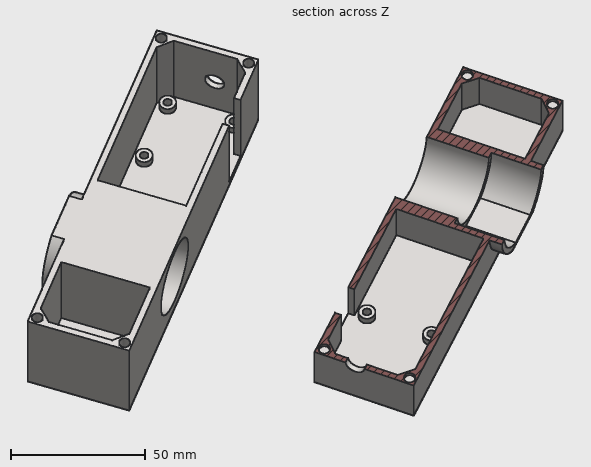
import cadquery as cq

body_width = 40.0
body_length = 142.5
body_height = 37.5

side_wall = 2.5
end_wall = 2.4
floor_thickness = 2.5
corner_cut = 5.0
pocket_width = body_width - 2 * side_wall

block_length = 40.0
block_center_y = 50.0
block_start_y = block_center_y - block_length / 2
block_end_y = block_center_y + block_length / 2

spigot_length = 5.0
spigot_diameter = block_length
bore_diameter = 30.0
recess_diameter = 35.0
recess_depth = 20.0
spigot_flat_height = 35.0
recess_flat_height = 32.2
axis_z = body_height - spigot_flat_height / 2

lid_hole_diameter = 4.1
lid_hole_inset = 2.8
lid_hole_depth = 20.0

boss_hole_diameter = 3.1
boss_diameter = 6.3
boss_height = 3.0
boss_pitch = 26.0
boss_end_distance = 7.7
boss_center_y = body_length - boss_end_distance - boss_pitch / 2

slot_width = 12.5
slot_end_distance = 19.8
cable_hole_diameter = 7.5
cable_hole_x = 23.7
cable_hole_z = 19.1


def pocket(start_y, end_y, cut_edges):
    """Open-topped pocket whose two outer vertical corners are cut at 45 degrees."""
    return (
        cq.Workplane("XY", origin=(side_wall, start_y, floor_thickness))
        .rect(pocket_width, end_y - start_y, centered=False)
        .extrude(body_height)
        .edges(cut_edges)
        .chamfer(corner_cut)
    )


def flattened_cylinder(diameter, flat_height, start_x, length):
    """Cylinder along X on the spigot axis, trimmed to a height of flat_height."""
    axis_plane = cq.Workplane("YZ", origin=(start_x, block_center_y, axis_z))
    trim = axis_plane.rect(diameter, flat_height).extrude(length)
    return axis_plane.circle(diameter / 2).extrude(length).intersect(trim)


def boss_cylinders(diameter):
    """Four cylinders on the boss pattern, from the underside up to the boss tops."""
    return (
        cq.Workplane("XY", origin=(body_width / 2, boss_center_y, 0))
        .rect(boss_pitch, boss_pitch, forConstruction=True)
        .vertices()
        .circle(diameter / 2)
        .extrude(floor_thickness + boss_height)
    )


body = cq.Workplane("XY").box(body_width, body_length, body_height, centered=False)

body = body.cut(pocket(end_wall, block_start_y, "|Z and <Y"))
body = body.cut(pocket(block_end_y, body_length - end_wall, "|Z and >Y"))

spigot_overlap = side_wall
spigot = flattened_cylinder(
    spigot_diameter, spigot_flat_height, -spigot_length, spigot_length + spigot_overlap
)
body = body.union(spigot)
recess = flattened_cylinder(recess_diameter, recess_flat_height, -spigot_length, recess_depth)
body = body.cut(recess)
bore = (
    cq.Workplane("YZ", origin=(-spigot_length, block_center_y, axis_z))
    .circle(bore_diameter / 2)
    .extrude(spigot_length + body_width)
)
body = body.cut(bore)

lid_holes = (
    cq.Workplane("XY", origin=(body_width / 2, body_length / 2, body_height))
    .rect(body_width - 2 * lid_hole_inset, body_length - 2 * lid_hole_inset, forConstruction=True)
    .vertices()
    .circle(lid_hole_diameter / 2)
    .extrude(-lid_hole_depth)
)
body = body.cut(lid_holes)

body = body.union(boss_cylinders(boss_diameter))
body = body.cut(boss_cylinders(boss_hole_diameter))

slot_start_y = body_length - slot_end_distance - slot_width
slot = (
    cq.Workplane("XY", origin=(body_width - side_wall, slot_start_y, floor_thickness))
    .rect(side_wall, slot_width, centered=False)
    .extrude(body_height - floor_thickness)
)
body = body.cut(slot)

cable_hole = (
    cq.Workplane("XZ", origin=(cable_hole_x, body_length, cable_hole_z))
    .circle(cable_hole_diameter / 2)
    .extrude(end_wall)
)
result = body.cut(cable_hole)